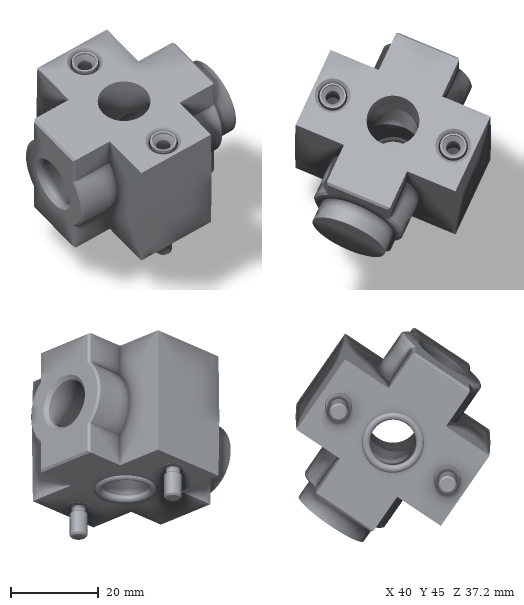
import cadquery as cq
import math

HEIGHT = 29.95
TOP = HEIGHT / 2
BOTTOM = -TOP
SIDE_ARM_SPAN = 40.0
SIDE_ARM_WIDTH = 20.0
DRAFT_ANGLE = 0.5
PORT_ARM_SPAN = 40.0
FRONT_FACE = -PORT_ARM_SPAN / 2
REAR_FACE = PORT_ARM_SPAN / 2
PORT_ARM_WIDTH = 15.7
BOSS_DIAMETER = 22.0
ARM_END_CHAMFER = 0.5

VERTICAL_BORE = 12.0
PORT_BORE = 11.45
PORT_MOUTH = 13.15
PORT_CHAMFER = (PORT_MOUTH - PORT_BORE) / 2

RING_OUTER = 14.05
RING_SECTION = 1.75
RING_MEAN = RING_OUTER - RING_SECTION
RING_PROTRUSION = 0.65
RING_CENTER_Z = BOTTOM - RING_PROTRUSION + RING_SECTION / 2
GROOVE_DEPTH = RING_SECTION - RING_PROTRUSION

SCREW_OFFSET = 15.0
SCREW_POSITIONS = (-SCREW_OFFSET, SCREW_OFFSET)
SCREW_HOLE_TOP = 6.65
SCREW_HOLE_MOUTH = 8.2
SCREW_HOLE_CHAMFER = (SCREW_HOLE_MOUTH - SCREW_HOLE_TOP) / 2
SCREW_HOLE_DRAFT_LENGTH = HEIGHT - SCREW_HOLE_CHAMFER
SCREW_HOLE_NARROWING = 2 * SCREW_HOLE_DRAFT_LENGTH * math.tan(math.radians(DRAFT_ANGLE))
SCREW_HOLE_BOTTOM = SCREW_HOLE_TOP - SCREW_HOLE_NARROWING
HEAD_DIAMETER = 6.0
HEAD_TOP = TOP
HEAD_BOTTOM = BOTTOM
NECK_DIAMETER = 3.25
THREAD_DIAMETER = 4.0
THREAD_LENGTH = 6.0
THREAD_CHAMFER = (THREAD_DIAMETER - NECK_DIAMETER) / 2
SCREW_PROTRUSION = 7.25
SCREW_TIP = BOTTOM - SCREW_PROTRUSION
SOCKET_MOUTH = 5.2
SOCKET_BORE = 3.25
SOCKET_RIM_DEPTH = 0.5
SOCKET_CHAMFER = (SOCKET_MOUTH - SOCKET_BORE) / 2
SOCKET_DEPTH = 6.0
SOCKET_TIP_ANGLE = 118

CAP_DIAMETER = 18
CAP_THICKNESS = 3.0
GASKET_THICKNESS = 2.0


def revolve_profile(points):
    """Solid of revolution about Z from (radius, height) points."""
    return cq.Workplane("XZ").polyline(points).close().revolve(360, (0, 0), (0, 1))


def vertical_cylinder(diameter, bottom, top):
    return cq.Workplane("XY", origin=(0, 0, bottom)).circle(diameter / 2).extrude(top - bottom)


def disc_along_y(diameter, front, thickness):
    return cq.Workplane("XZ", origin=(0, front, 0)).circle(diameter / 2).extrude(-thickness)


def make_side_arms():
    """Block along X, drafted upward and downward from the parting plane."""
    upper = cq.Workplane("XY").rect(SIDE_ARM_SPAN, SIDE_ARM_WIDTH).extrude(TOP, taper=DRAFT_ANGLE)
    return upper.union(upper.mirror("XY"))


def make_port_arms():
    """Bar along Y whose section is an upright rectangle with a round bulge."""
    bar = cq.Workplane("XY").box(PORT_ARM_WIDTH, PORT_ARM_SPAN, HEIGHT)
    bar = bar.union(disc_along_y(BOSS_DIAMETER, FRONT_FACE, PORT_ARM_SPAN))
    return bar.faces("<Y or >Y").chamfer(ARM_END_CHAMFER)


def make_port_bore():
    """Bore along Y with a chamfered mouth at the front."""
    bore = disc_along_y(PORT_BORE, FRONT_FACE, PORT_ARM_SPAN)
    mouth = cq.Solid.makeCone(
        PORT_MOUTH / 2, PORT_BORE / 2, PORT_CHAMFER, cq.Vector(0, FRONT_FACE, 0), cq.Vector(0, 1, 0)
    )
    return bore.union(cq.Workplane(mouth))


def make_screw_hole():
    """Clearance hole on the Z axis, narrowing downward, with a countersunk mouth at the top."""
    return revolve_profile([
        (0, BOTTOM),
        (SCREW_HOLE_BOTTOM / 2, BOTTOM),
        (SCREW_HOLE_TOP / 2, TOP - SCREW_HOLE_CHAMFER),
        (SCREW_HOLE_MOUTH / 2, TOP),
        (0, TOP),
    ])


def make_housing():
    body = make_side_arms().union(make_port_arms())
    body = body.cut(vertical_cylinder(VERTICAL_BORE, BOTTOM, TOP))
    body = body.cut(vertical_cylinder(RING_OUTER, BOTTOM, BOTTOM + GROOVE_DEPTH))
    body = body.cut(make_port_bore())
    for x in SCREW_POSITIONS:
        body = body.cut(make_screw_hole().translate((x, 0, 0)))
    return body


def make_screw(x):
    """Long-headed screw with a stepped socket in its head and a neck above its thread."""
    thread_top = SCREW_TIP + THREAD_LENGTH
    socket_floor = HEAD_TOP - SOCKET_DEPTH
    socket_tip = socket_floor - SOCKET_BORE / 2 / math.tan(math.radians(SOCKET_TIP_ANGLE / 2))
    screw = revolve_profile([
        (0, SCREW_TIP),
        (NECK_DIAMETER / 2, SCREW_TIP),
        (THREAD_DIAMETER / 2, SCREW_TIP + THREAD_CHAMFER),
        (THREAD_DIAMETER / 2, thread_top - THREAD_CHAMFER),
        (NECK_DIAMETER / 2, thread_top),
        (NECK_DIAMETER / 2, HEAD_BOTTOM),
        (HEAD_DIAMETER / 2, HEAD_BOTTOM),
        (HEAD_DIAMETER / 2, HEAD_TOP),
        (SOCKET_MOUTH / 2, HEAD_TOP),
        (SOCKET_MOUTH / 2, HEAD_TOP - SOCKET_RIM_DEPTH),
        (SOCKET_BORE / 2, HEAD_TOP - SOCKET_RIM_DEPTH - SOCKET_CHAMFER),
        (SOCKET_BORE / 2, socket_floor),
        (0, socket_tip),
    ])
    return screw.translate((x, 0, 0))


def make_o_ring():
    center = cq.Vector(0, 0, RING_CENTER_Z)
    return cq.Workplane(cq.Solid.makeTorus(RING_MEAN / 2, RING_SECTION / 2, center))


def make_gasket():
    """Flat ring between the rear face of the housing and the cap."""
    ring = disc_along_y(CAP_DIAMETER, REAR_FACE, GASKET_THICKNESS)
    return ring.cut(disc_along_y(PORT_BORE, REAR_FACE, GASKET_THICKNESS))


def make_cap():
    return disc_along_y(CAP_DIAMETER, REAR_FACE + GASKET_THICKNESS, CAP_THICKNESS)


housing = make_housing()
screws = [make_screw(x) for x in SCREW_POSITIONS]
o_ring = make_o_ring()
gasket = make_gasket()
cap = make_cap()

result = cq.Compound.makeCompound([
    housing.val(),
    *[screw.val() for screw in screws],
    o_ring.val(),
    gasket.val(),
    cap.val(),
])